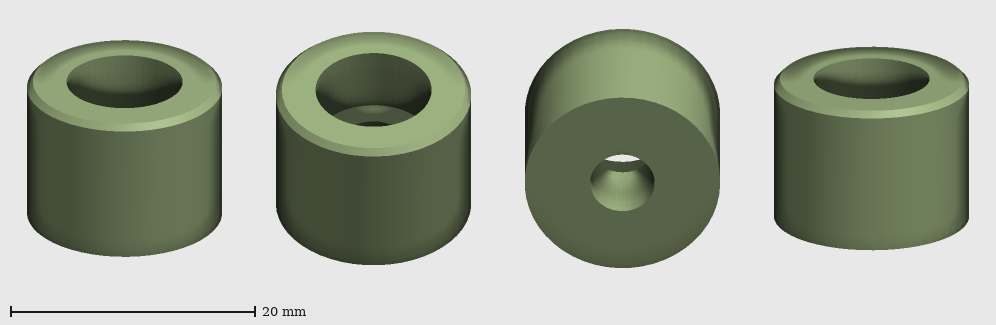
import cadquery as cq

outer_diameter = 16.0
height = 12.0
rim_chamfer = 0.5
bore_diameter = 5.3
counterbore_diameter = 9.5
counterbore_depth = 5.5

body = cq.Workplane("XY").circle(outer_diameter / 2).extrude(height)
body = body.faces(">Z").edges().chamfer(rim_chamfer)

result = body.faces(">Z").workplane().cboreHole(
    bore_diameter, counterbore_diameter, counterbore_depth
)